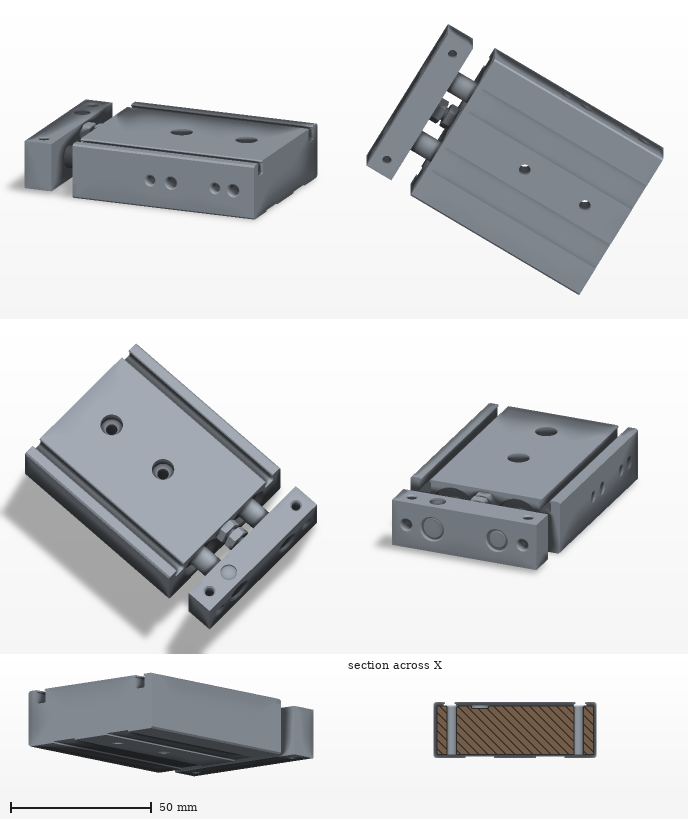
import cadquery as cq
import math


total_length = 89
plate_length = 10.3
housing_length = 70.1
housing_width = 58.0
housing_height = 20.0
plate_width = 56.0
plate_height = 17.5
housing_front = total_length - housing_length
housing_top = housing_height / 2
housing_side = housing_width / 2
plate_top = plate_height / 2
edge_chamfer = 0.6

slot_edge_distance = 5.8
slot_offset = housing_side - slot_edge_distance
slot_top_width = 4.1
slot_mouth_width = 3.4
slot_width = 4.45
slot_depth = 5.0
slot_lip_bevel_depth = 0.4
slot_lip_edge_depth = 0.6
slot_lip_depth = 1.0
slot_floor_chamfer = 0.45

channel_width = 10.2
channel_depth = 0.5

rod_offset = 12.505
rod_diameter = 8
bore_diameter = 16
bore_mouth_diameter = 17.0
bore_depth = 2.7

mount_stations = (30.0, 55.0)
mount_diameter = 4.1
mount_head_diameter = 8
mount_head_depth = 4.45

port_stations = (38.0, 62.0)
side_hole_depth = 5.3

small_tap_diameter = 3.2
small_tap_mouth = 4.4
large_tap_diameter = 4.1
large_tap_mouth = 5.0

plate_hole_offset = 22.5
plate_tap_depth = 3.0

recess_depth = 1.25
rod_end_bevel = 0.4
left_recess_mouth = 9.4
left_recess_diameter = 8.5
left_end_diameter = 8
right_recess_mouth = 8.8
right_recess_diameter = 8
right_end_diameter = 6.8

set_screw_diameter = 6.0
set_screw_depth = 0.9

bolt_height = 4.8
neck_diameter = 4.4
shank_diameter = 5.0
hex_across_flats = 8
hex_corner_diameter = hex_across_flats / math.cos(math.pi / 6)
hex_face_diameter = 8
hex_bevel_length = 0.3
neck_length = 1.2
nut_start = plate_length + neck_length
nut_length = 3.3
head_length = 2.9


def cylinder(start, direction, diameter, length):
    """Solid cylinder that grows from a start point along a direction."""
    return cq.Workplane(obj=cq.Solid.makeCylinder(
        diameter / 2, length, cq.Vector(*start), cq.Vector(*direction)))


def chamfered_hole(start, direction, diameter, mouth_diameter, depth):
    """Cutter for a hole whose mouth has a 45 degree chamfer."""
    mouth_depth = (mouth_diameter - diameter) / 2
    mouth = cq.Solid.makeCone(
        mouth_diameter / 2, diameter / 2, mouth_depth, cq.Vector(*start), cq.Vector(*direction))
    return cylinder(start, direction, diameter, depth).union(cq.Workplane(obj=mouth))


def slot_cutter(center_y):
    """Undercut slot between two bevelled lips, as long as the housing."""
    half_profile = [
        (slot_top_width / 2, 0),
        (slot_mouth_width / 2, -slot_lip_bevel_depth),
        (slot_mouth_width / 2, -slot_lip_edge_depth),
        (slot_width / 2, -slot_lip_depth),
        (slot_width / 2, slot_floor_chamfer - slot_depth),
        (slot_width / 2 - slot_floor_chamfer, -slot_depth),
    ]
    mirrored_half = [(-y, z) for y, z in reversed(half_profile)]
    return (
        cq.Workplane("YZ", origin=(housing_front, center_y, housing_top))
        .polyline(half_profile + mirrored_half)
        .close()
        .extrude(housing_length)
    )


def make_housing():
    """Slotted housing block with rod bores, mounting holes and side holes."""
    housing = (
        cq.Workplane("XY")
        .box(housing_length, housing_width, housing_height)
        .translate((housing_front + housing_length / 2, 0, 0))
        .edges("|X")
        .chamfer(edge_chamfer)
    )
    for side in (-1, 1):
        housing = housing.cut(slot_cutter(side * slot_offset))

        channel = cq.Workplane("XY").box(housing_length, channel_width, 2 * channel_depth).translate(
            (housing_front + housing_length / 2, side * rod_offset, -housing_top))
        housing = housing.cut(channel)

        bore_center = (housing_front, side * rod_offset, 0)
        housing = housing.cut(
            chamfered_hole(bore_center, (1, 0, 0), bore_diameter, bore_mouth_diameter, bore_depth))

    for station in mount_stations:
        top_center = (housing_front + station, 0, housing_top)
        housing = housing.cut(cylinder(top_center, (0, 0, -1), mount_diameter, housing_height))
        housing = housing.cut(cylinder(top_center, (0, 0, -1), mount_head_diameter, mount_head_depth))

    side_holes = [
        (mount_stations, small_tap_diameter, small_tap_mouth),
        (port_stations, large_tap_diameter, large_tap_mouth),
    ]
    for stations, diameter, mouth_diameter in side_holes:
        for station in stations:
            side_center = (housing_front + station, -housing_side, 0)
            housing = housing.cut(
                chamfered_hole(side_center, (0, 1, 0), diameter, mouth_diameter, side_hole_depth))
    return housing


def rod_end_recess(center_y, mouth_diameter, diameter, end_diameter):
    """Cutter for a chamfered recess in the plate's front, around a bevelled rod end."""
    mouth_depth = (mouth_diameter - diameter) / 2
    end_depth = recess_depth - rod_end_bevel
    return (
        cq.Workplane("XY")
        .polyline([
            (0, 0),
            (0, mouth_diameter / 2),
            (mouth_depth, diameter / 2),
            (recess_depth, diameter / 2),
            (recess_depth, end_diameter / 2),
            (end_depth, end_diameter / 2 - rod_end_bevel),
            (end_depth, 0),
        ])
        .close()
        .revolve(360, (0, 0, 0), (1, 0, 0))
        .translate((0, center_y, 0))
    )


def make_plate():
    """End plate with its threaded holes, rod end recesses and set screw seat."""
    plate = (
        cq.Workplane("XY")
        .box(plate_length, plate_width, plate_height)
        .translate((plate_length / 2, 0, 0))
    )
    for side in (-1, 1):
        hole_y = side * plate_hole_offset
        plate = plate.cut(chamfered_hole(
            (0, hole_y, 0), (1, 0, 0), large_tap_diameter, large_tap_mouth, plate_tap_depth))
        plate = plate.cut(chamfered_hole(
            (plate_length / 2, hole_y, plate_top), (0, 0, -1),
            small_tap_diameter, small_tap_mouth, plate_height))

    plate = plate.cut(rod_end_recess(
        rod_offset, left_recess_mouth, left_recess_diameter, left_end_diameter))
    plate = plate.cut(rod_end_recess(
        -rod_offset, right_recess_mouth, right_recess_diameter, right_end_diameter))
    return plate.cut(cylinder(
        (plate_length / 2, rod_offset, plate_top), (0, 0, -1), set_screw_diameter, set_screw_depth))


def make_hexagon(start, length):
    """Hexagonal nut along X, flats on top and bottom, with both ends bevelled."""
    prism = (
        cq.Workplane("YZ", origin=(start, 0, bolt_height))
        .polygon(6, hex_corner_diameter)
        .extrude(length)
    )
    bevelled_blank = (
        cq.Workplane("XY")
        .polyline([
            (0, 0),
            (0, hex_face_diameter / 2),
            (hex_bevel_length, hex_corner_diameter / 2),
            (length - hex_bevel_length, hex_corner_diameter / 2),
            (length, hex_face_diameter / 2),
            (length, 0),
        ])
        .close()
        .revolve(360, (0, 0, 0), (1, 0, 0))
        .translate((start, 0, bolt_height))
    )
    return prism.intersect(bevelled_blank)


def make_stop_bolt():
    """Bolt with a lock nut, whose head rests against the housing front."""
    head_start = housing_front - head_length
    neck = cylinder((plate_length, 0, bolt_height), (1, 0, 0), neck_diameter, neck_length)
    shank = cylinder((nut_start, 0, bolt_height), (1, 0, 0), shank_diameter, head_start - nut_start)
    nut = make_hexagon(nut_start, nut_length)
    head = make_hexagon(head_start, head_length)
    return neck.union(shank).union(nut).union(head)


def make_slide():
    """End plate with its two rods and the stop bolt, as one body.

    The rods end on the floors of the housing bores.
    """
    slide = make_plate().union(make_stop_bolt())
    rod_length = housing_front + bore_depth - plate_length
    for side in (-1, 1):
        rod = cylinder((plate_length, side * rod_offset, 0), (1, 0, 0), rod_diameter, rod_length)
        slide = slide.union(rod)
    return slide


housing = make_housing()
slide = make_slide()
result = cq.Compound.makeCompound([housing.val(), slide.val()])